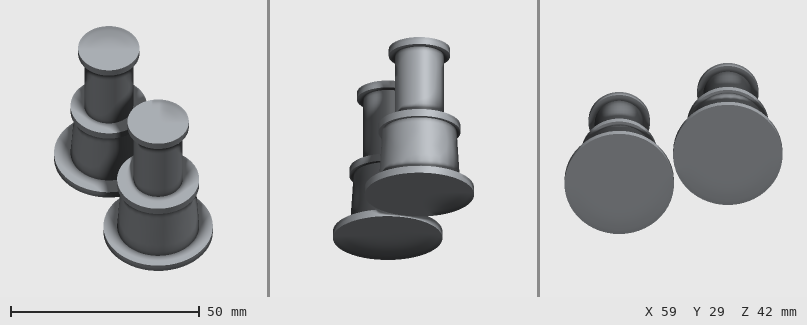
import cadquery as cq

total_height = 42.0
plate_thickness = 2.0
cone_height = 16.0
post_height = total_height - 3 * plate_thickness - cone_height

overall_length = 59.0
base_diameter = 29.0
post_diameter = 13.0
head_diameter = 16.3
spool_offset = (overall_length - base_diameter) / 2

small_foot_diameter = 20.3
small_neck_diameter = 18.2
large_foot_diameter = 21.8
large_neck_diameter = 19.8


def disc(diameter, thickness, bottom):
    """Upright cylinder on the spool axis, starting at height bottom."""
    return cq.Workplane("XY").workplane(offset=bottom).circle(diameter / 2).extrude(thickness)


def cone(foot_diameter, neck_diameter, bottom):
    """Tapered section that narrows upwards from height bottom."""
    return cq.Workplane(
        cq.Solid.makeCone(
            foot_diameter / 2, neck_diameter / 2, cone_height, pnt=cq.Vector(0, 0, bottom)
        )
    )


def make_spool(foot_diameter, neck_diameter, center_x):
    """One solid spool: base flange, tapered section, collar, post and head."""
    collar_bottom = plate_thickness + cone_height
    post_bottom = collar_bottom + plate_thickness
    head_bottom = post_bottom + post_height

    spool = disc(base_diameter, plate_thickness, 0)
    spool = spool.union(cone(foot_diameter, neck_diameter, plate_thickness))
    spool = spool.union(disc(foot_diameter, plate_thickness, collar_bottom))
    spool = spool.union(disc(post_diameter, post_height, post_bottom))
    spool = spool.union(disc(head_diameter, plate_thickness, head_bottom))
    return spool.translate((center_x, 0, 0))


small_spool = make_spool(small_foot_diameter, small_neck_diameter, -spool_offset)
large_spool = make_spool(large_foot_diameter, large_neck_diameter, spool_offset)

result = cq.Compound.makeCompound([small_spool.val(), large_spool.val()])